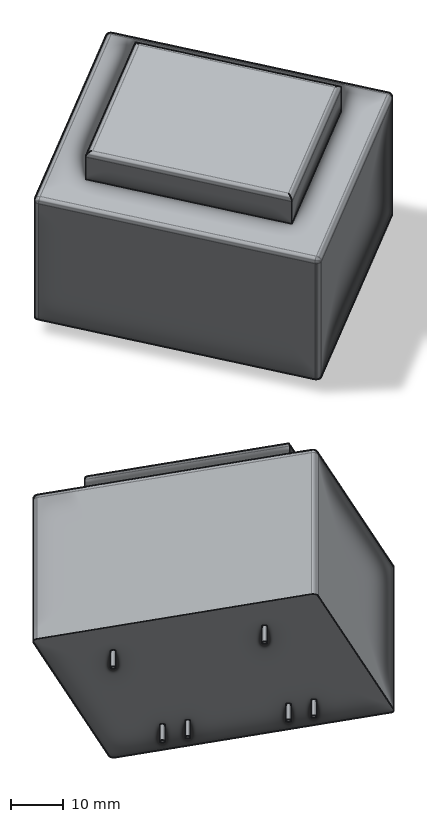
import cadquery as cq

BLOCK_LENGTH = 57.1
BLOCK_WIDTH = 48.0
BLOCK_HEIGHT = 32.1
CAP_LENGTH = 41.1
CAP_WIDTH = 32.1
CAP_HEIGHT = 7.0
EDGE_RADIUS = 1.0

PIN_DIAMETER = 1.0
PIN_LENGTH = 3.55
PIN_ROW_Y = 14.95
OUTER_PIN_X = 15.2
INNER_PIN_X = 10.1

FRONT_ROW = [(x, -PIN_ROW_Y) for x in (-OUTER_PIN_X, -INNER_PIN_X, INNER_PIN_X, OUTER_PIN_X)]
BACK_ROW = [(x, PIN_ROW_Y) for x in (-OUTER_PIN_X, OUTER_PIN_X)]


def make_housing():
    """Block with rounded top and upright edges, carrying a cap with a rounded top rim."""
    block = (
        cq.Workplane("XY")
        .box(BLOCK_LENGTH, BLOCK_WIDTH, BLOCK_HEIGHT, centered=(True, True, False))
        .edges("|Z or >Z")
        .fillet(EDGE_RADIUS)
    )
    cap = (
        cq.Workplane("XY", origin=(0, 0, BLOCK_HEIGHT))
        .box(CAP_LENGTH, CAP_WIDTH, CAP_HEIGHT, centered=(True, True, False))
        .faces(">Z")
        .edges()
        .fillet(EDGE_RADIUS)
    )
    return block.union(cap)


def make_pin(x, y):
    """Straight round pin whose upper end meets the underside of the housing."""
    return cq.Workplane("XY", origin=(x, y, 0)).circle(PIN_DIAMETER / 2).extrude(-PIN_LENGTH)


housing = make_housing()
pins = [make_pin(x, y) for x, y in FRONT_ROW + BACK_ROW]

result = cq.Compound.makeCompound([housing.val(), *[pin.val() for pin in pins]])